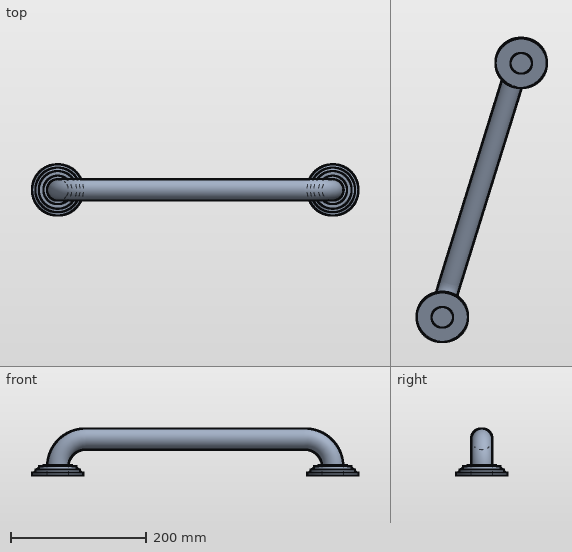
import cadquery as cq
import math

mount_spacing = 406.4
bar_diameter = 31.75
bar_top = 69.85
bend_radius = 41.275
bar_radius = bar_diameter / 2
bar_axis_height = bar_top - bar_radius
half_spacing = mount_spacing / 2

flange_radius = 38.1
flange_height = 15.7
step_count = 2
step_rise = 4.65
ledge_width = 2.1
step_cove_radius = 3.0
collar_radius = 22.45
collar_cove_radius = 1.35


def make_bar():
    """Round bar with both ends bent down to the mounting plane, Z = 0."""
    bend_start = bar_axis_height - bend_radius
    bend_end = half_spacing - bend_radius
    path = (
        cq.Workplane("XZ")
        .moveTo(-half_spacing, 0)
        .lineTo(-half_spacing, bend_start)
        .radiusArc((-bend_end, bar_axis_height), bend_radius)
        .lineTo(bend_end, bar_axis_height)
        .radiusArc((half_spacing, bend_start), bend_radius)
        .lineTo(half_spacing, 0)
    )
    return cq.Workplane("XY").center(-half_spacing, 0).circle(bar_radius).sweep(path)


def add_cove(profile, start_radius, start_height, cove_radius):
    """Concave quarter circle that leaves a flat ledge and rises inward until it is vertical."""
    diagonal = cove_radius * math.sin(math.pi / 4)
    middle = (start_radius - diagonal, start_height + cove_radius - diagonal)
    end = (start_radius - cove_radius, start_height + cove_radius)
    return profile.threePointArc(middle, end)


def make_flange(x):
    """Stepped flange centred on x, with a through hole that the bar end fills."""
    radius = flange_radius
    height = step_rise
    profile = (
        cq.Workplane("XZ")
        .moveTo(bar_radius, 0)
        .lineTo(radius, 0)
        .lineTo(radius, height)
    )
    for _ in range(step_count):
        cove_start = radius - ledge_width
        profile = profile.lineTo(cove_start, height)
        profile = add_cove(profile, cove_start, height, step_cove_radius)
        radius = cove_start - step_cove_radius
        height += step_rise
        profile = profile.lineTo(radius, height)
    profile = profile.lineTo(collar_radius, height)
    profile = add_cove(profile, collar_radius, height, collar_cove_radius)
    profile = (
        profile.lineTo(collar_radius - collar_cove_radius, flange_height)
        .lineTo(bar_radius, flange_height)
        .close()
    )
    return profile.revolve(360, (0, 0, 0), (0, 1, 0)).translate((x, 0, 0))


bar = make_bar()
flanges = [make_flange(x) for x in (-half_spacing, half_spacing)]

result = cq.Compound.makeCompound([bar.val(), *[flange.val() for flange in flanges]])